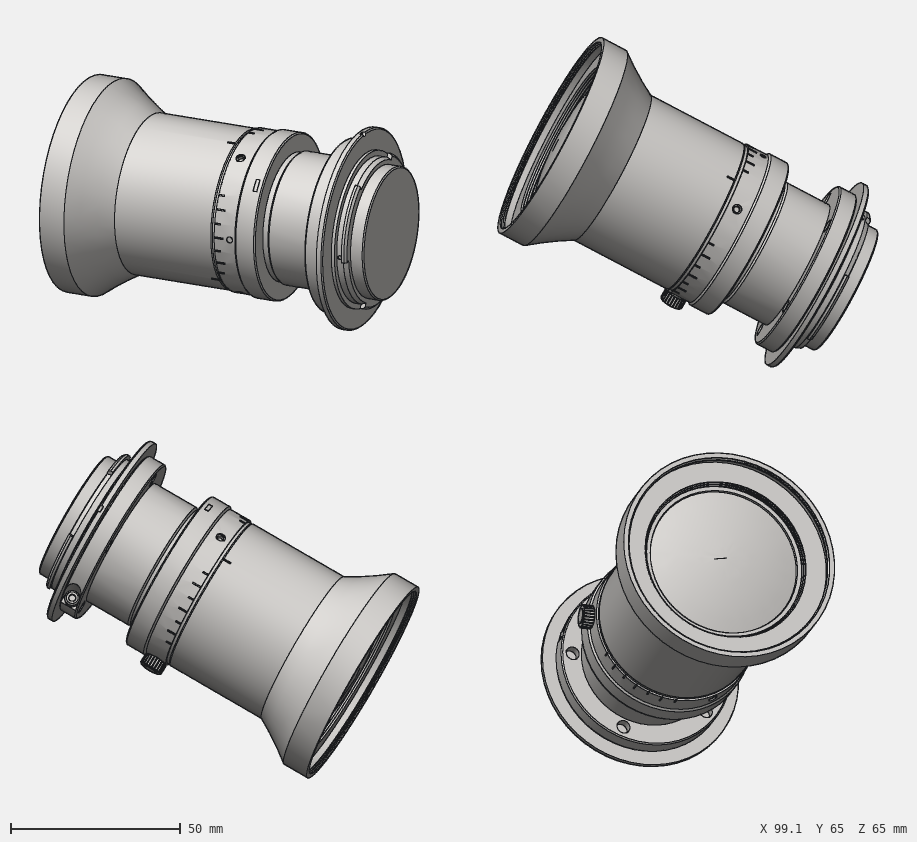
import cadquery as cq
import math


LENGTH = 99.1

HOOD_RADIUS = 32.5
HOOD_RIM_LENGTH = 7.9
HOOD_END = 20.5
FLARE_MID_X = 14.3
FLARE_MID_RADIUS = 27.9
BARREL_RADIUS = 24.2

THREAD_RADIUS = 31.0
THREAD_RIDGE = 0.4
THREAD_PITCH = 0.6
THREAD_TURNS = 2
THREAD_START = 0.4
RECESS_DEPTH = 3.6
SEAT_RADIUS = 24.8
SEAT_STEP_COUNT = 3
SEAT_STEP_DEPTH = 0.6
SEAT_STEP_WIDTH = 0.4
RETAINER_INNER_RADIUS = 22.7
LENS_RADIUS = 22.5
LENS_EDGE_X = 5.9
LENS_APEX_X = 2.6

GROOVE_X = 51.6
GROOVE_RADIUS = 24.0
RING_X = 52.9
RING_RADIUS = 24.6
LOCK_X = 59.6
LOCK_END = 66.3
LOCK_RADIUS = 25.2
LOCK_BEVEL = LOCK_RADIUS - RING_RADIUS
EDGE = 0.4

NECK_RADIUS = 19.4
TUBE_X = 68.0
TUBE_RADIUS = 20.0
TUBE_BEVEL = TUBE_RADIUS - NECK_RADIUS

FLANGE_X = 82.7
FLANGE_RADIUS = 26.2
DISC_X = 88.5
DISC_END = 90.4
DISC_RADIUS = 30.2
STEP_END = 91.4
STEP_RADIUS = 23.7
BAYONET_RADIUS = 22.0
BAYONET_X = 93.4
BAYONET_END = 94.9
BAYONET_END_RADIUS = 21.4

LUG_COUNT = 3
LUG_START_ANGLE = 5
LUG_SWEEP = 60
LUG_RADIUS = 23.3
LUG_BEVEL_X = 94.2
LUG_END_RADIUS = 22.6
LUG_ROOT_RADIUS = 20.8

DOT_X = 92.4
DOT_Z = -1.0
DOT_DIAMETER = 1.2
DISC_NOTCH_DIAMETER = 2.0
DISC_NOTCH_DEPTH = 1.0

SCREW_X = 55.9
SET_SCREW_ANGLES = (120, 240)
SET_SCREW_DIAMETER = 2.8
SET_SCREW_DEPTH = 0.5
SOCKET_DIAMETER = 1.9
SOCKET_DEPTH = 1.5

KNOB_DIAMETER = 7.0
KNOB_BASE = 25.1
KNOB_HEIGHT = 3.3
KNOB_EDGE = 0.3
KNOB_CAP_DIAMETER = 4.5
KNOB_CAP_HEIGHT = 0.3
KNOB_STEM_DIAMETER = 2.0
KNURL_COUNT = 24
KNURL_DIAMETER = 0.6

SCALE_COUNT = 3
SCALE_START_ANGLE = 30
TICKS_PER_SCALE = 7
TICK_STEP = 10
SHORT_TICK = 1.8
LONG_TICK = 2.8
TICK_WIDTH = 0.4
MARK_DEPTH = 0.2
INDEX_ANGLES = (106, 221)
INDEX_LENGTH = 2.4
RING_DOT_X = 57.9
RING_DOT_ANGLE = 180
RING_DOT_DIAMETER = 1.9

WINDOW_X = 64.1
WINDOW_ANGLE = 139.5
WINDOW_LENGTH = 1.2
WINDOW_WIDTH = 3.8

CLAMP_X = 85.7
CLAMP_Y = 23.2
CLAMP_FLOOR_Z = 5.5
CLAMP_POCKET_DIAMETER = 5.1
CLAMP_HEAD_DIAMETER = 4.5
CLAMP_HEAD_HEIGHT = 2.5
CLAMP_HEAD_EDGE = 0.5
CLAMP_SOCKET_DIAMETER = 2.1
CLAMP_SOCKET_DEPTH = 1.2

FLANGE_HOLE_COUNT = 5
FLANGE_HOLE_CIRCLE_RADIUS = 22.7
FLANGE_HOLE_DIAMETER = 4.0
FLANGE_HOLE_DEPTH = 3.0


def around_axis(shape, angle):
    """Turn a shape about the X axis, from +Y towards +Z."""
    return shape.rotate((0, 0, 0), (1, 0, 0), angle)


def axial_cylinder(x, y, z, diameter, length):
    """Cylinder starting at (x, y, z) and running along +X."""
    return cq.Workplane("YZ", origin=(x, y, z)).circle(diameter / 2).extrude(length)


def radial_cylinder(x, inner_radius, diameter, length):
    """Cylinder on the +Y side, running outwards from inner_radius."""
    plane = cq.Plane(origin=(x, inner_radius, 0), xDir=(1, 0, 0), normal=(0, 1, 0))
    return cq.Workplane(plane).circle(diameter / 2).extrude(length)


def radial_block(x_start, x_end, surface_radius, width, depth):
    """Block on the +Y side that reaches depth below surface_radius and stands clear above it."""
    center = ((x_start + x_end) / 2, surface_radius, 0)
    return cq.Workplane("XY", origin=center).box(x_end - x_start, 2 * depth, width)


def make_body():
    """Main body of revolution, including the front recess and the domed lens."""
    thread_end = THREAD_START + THREAD_TURNS * THREAD_PITCH
    seat_floor_x = RECESS_DEPTH + SEAT_STEP_COUNT * SEAT_STEP_DEPTH
    lens_mid_x = LENS_APEX_X + (LENS_EDGE_X - LENS_APEX_X) / 4
    profile = (
        cq.Workplane("XY")
        .moveTo(LENS_APEX_X, 0)
        .threePointArc((lens_mid_x, LENS_RADIUS / 2), (LENS_EDGE_X, LENS_RADIUS))
        .lineTo(seat_floor_x, RETAINER_INNER_RADIUS)
    )
    for step in reversed(range(SEAT_STEP_COUNT)):
        step_x = RECESS_DEPTH + step * SEAT_STEP_DEPTH
        step_radius = SEAT_RADIUS - step * SEAT_STEP_WIDTH
        profile = profile.lineTo(step_x + SEAT_STEP_DEPTH, step_radius).lineTo(step_x, step_radius)
    profile = profile.lineTo(RECESS_DEPTH, THREAD_RADIUS).lineTo(thread_end, THREAD_RADIUS)
    for turn in reversed(range(THREAD_TURNS)):
        turn_x = THREAD_START + turn * THREAD_PITCH
        profile = profile.lineTo(turn_x + THREAD_PITCH / 2, THREAD_RADIUS - THREAD_RIDGE)
        profile = profile.lineTo(turn_x, THREAD_RADIUS)
    profile = (
        profile.lineTo(0, THREAD_RADIUS)
        .lineTo(0, HOOD_RADIUS)
        .lineTo(HOOD_RIM_LENGTH, HOOD_RADIUS)
        .threePointArc((FLARE_MID_X, FLARE_MID_RADIUS), (HOOD_END, BARREL_RADIUS))
        .lineTo(GROOVE_X, BARREL_RADIUS)
        .lineTo(GROOVE_X + EDGE, GROOVE_RADIUS)
        .lineTo(RING_X, GROOVE_RADIUS)
        .lineTo(RING_X, RING_RADIUS)
        .lineTo(LOCK_X, RING_RADIUS)
        .lineTo(LOCK_X + LOCK_BEVEL, LOCK_RADIUS)
        .lineTo(LOCK_END - EDGE, LOCK_RADIUS)
        .lineTo(LOCK_END, LOCK_RADIUS - EDGE)
        .lineTo(LOCK_END, NECK_RADIUS)
        .lineTo(TUBE_X, NECK_RADIUS)
        .lineTo(TUBE_X + TUBE_BEVEL, TUBE_RADIUS)
        .lineTo(FLANGE_X, TUBE_RADIUS)
        .lineTo(FLANGE_X, FLANGE_RADIUS - EDGE)
        .lineTo(FLANGE_X + EDGE, FLANGE_RADIUS)
        .lineTo(DISC_X - EDGE, FLANGE_RADIUS)
        .lineTo(DISC_X, FLANGE_RADIUS - EDGE)
        .lineTo(DISC_X, DISC_RADIUS)
        .lineTo(DISC_END - EDGE, DISC_RADIUS)
        .lineTo(DISC_END, DISC_RADIUS - EDGE)
        .lineTo(DISC_END, STEP_RADIUS)
        .lineTo(STEP_END, STEP_RADIUS)
        .lineTo(STEP_END, BAYONET_RADIUS)
        .lineTo(BAYONET_X, BAYONET_RADIUS)
        .lineTo(BAYONET_END, BAYONET_END_RADIUS)
        .lineTo(BAYONET_END, TUBE_RADIUS)
        .lineTo(LENGTH - EDGE, TUBE_RADIUS)
        .lineTo(LENGTH, TUBE_RADIUS - EDGE)
        .lineTo(LENGTH, 0)
        .close()
    )
    return profile.revolve(360, (0, 0, 0), (1, 0, 0))


def add_bayonet_lugs(body):
    lug = (
        cq.Workplane("XY")
        .moveTo(BAYONET_X, LUG_ROOT_RADIUS)
        .lineTo(BAYONET_X, LUG_RADIUS)
        .lineTo(LUG_BEVEL_X, LUG_RADIUS)
        .lineTo(BAYONET_END, LUG_END_RADIUS)
        .lineTo(BAYONET_END, LUG_ROOT_RADIUS)
        .close()
        .revolve(LUG_SWEEP, (0, 0, 0), (1, 0, 0))
    )
    for index in range(LUG_COUNT):
        body = body.union(around_axis(lug, LUG_START_ANGLE + index * 360 / LUG_COUNT))
    return body


def cut_mount_marks(body):
    """Alignment dot on the -Y side and locating notch in the disc rim on the +Z side."""
    dot = radial_cylinder(DOT_X, BAYONET_RADIUS - MARK_DEPTH, DOT_DIAMETER, 2 * MARK_DEPTH)
    dot_angle = 180 - math.degrees(math.asin(DOT_Z / BAYONET_RADIUS))
    notch = axial_cylinder(
        DISC_END - DISC_NOTCH_DEPTH, 0, DISC_RADIUS, DISC_NOTCH_DIAMETER, DISC_NOTCH_DEPTH
    )
    return body.cut(around_axis(dot, dot_angle)).cut(notch)


def cut_set_screws(body):
    """Stepped recesses of the set screws in the aperture ring."""
    head = radial_cylinder(
        SCREW_X, RING_RADIUS - SET_SCREW_DEPTH, SET_SCREW_DIAMETER, 2 * SET_SCREW_DEPTH
    )
    socket = radial_cylinder(SCREW_X, RING_RADIUS - SOCKET_DEPTH, SOCKET_DIAMETER, SOCKET_DEPTH)
    recess = head.union(socket)
    for angle in SET_SCREW_ANGLES:
        body = body.cut(around_axis(recess, angle))
    return body


def make_thumb_screw():
    knob_radius = KNOB_DIAMETER / 2
    knob = radial_cylinder(SCREW_X, KNOB_BASE, KNOB_DIAMETER, KNOB_HEIGHT).edges().chamfer(KNOB_EDGE)
    for index in range(KNURL_COUNT):
        angle = 2 * math.pi * index / KNURL_COUNT
        flute = radial_cylinder(SCREW_X, KNOB_BASE, KNURL_DIAMETER, KNOB_HEIGHT)
        offset = (knob_radius * math.cos(angle), 0, knob_radius * math.sin(angle))
        knob = knob.cut(flute.translate(offset))
    knob_top = KNOB_BASE + KNOB_HEIGHT
    cap = radial_cylinder(SCREW_X, knob_top, KNOB_CAP_DIAMETER, KNOB_CAP_HEIGHT)
    stem_base = RING_RADIUS - SET_SCREW_DEPTH
    stem = radial_cylinder(SCREW_X, stem_base, KNOB_STEM_DIAMETER, knob_top - stem_base)
    return knob.union(cap).union(stem)


def cut_aperture_scales(body):
    """Three scales of alternating short and long graduations, with one index dot."""
    for scale in range(SCALE_COUNT):
        for tick in range(TICKS_PER_SCALE):
            length = SHORT_TICK if tick % 2 == 0 else LONG_TICK
            angle = SCALE_START_ANGLE + scale * 360 / SCALE_COUNT + tick * TICK_STEP
            groove = radial_block(RING_X, RING_X + length, RING_RADIUS, TICK_WIDTH, MARK_DEPTH)
            body = body.cut(around_axis(groove, angle))
    dot = radial_cylinder(RING_DOT_X, RING_RADIUS - MARK_DEPTH, RING_DOT_DIAMETER, 2 * MARK_DEPTH)
    return body.cut(around_axis(dot, RING_DOT_ANGLE))


def cut_barrel_index_lines(body):
    line = radial_block(GROOVE_X - INDEX_LENGTH, GROOVE_X, BARREL_RADIUS, TICK_WIDTH, MARK_DEPTH)
    for angle in INDEX_ANGLES:
        body = body.cut(around_axis(line, angle))
    return body


def cut_lock_ring_window(body):
    half_length = WINDOW_LENGTH / 2
    window = radial_block(
        WINDOW_X - half_length, WINDOW_X + half_length, LOCK_RADIUS, WINDOW_WIDTH, MARK_DEPTH
    )
    return body.cut(around_axis(window, WINDOW_ANGLE))


def fit_clamp_screw(body):
    """Round-ended pocket open to +Z, and to +Y at the flange rim, holding a socket-head screw."""
    height = FLANGE_RADIUS - CLAMP_FLOOR_Z
    floor = cq.Workplane("XY", origin=(CLAMP_X, CLAMP_Y, CLAMP_FLOOR_Z))
    pocket = floor.circle(CLAMP_POCKET_DIAMETER / 2).extrude(height)
    opening_length = FLANGE_RADIUS - CLAMP_Y
    opening = (
        floor.center(0, opening_length / 2)
        .rect(CLAMP_POCKET_DIAMETER, opening_length)
        .extrude(height)
    )
    head = (
        floor.circle(CLAMP_HEAD_DIAMETER / 2)
        .extrude(CLAMP_HEAD_HEIGHT)
        .faces(">Z")
        .chamfer(CLAMP_HEAD_EDGE)
        .faces(">Z")
        .workplane()
        .hole(CLAMP_SOCKET_DIAMETER, CLAMP_SOCKET_DEPTH)
    )
    return body.cut(pocket).cut(opening).union(head)


def cut_flange_holes(body):
    """Ring of blind holes around the tube."""
    hole = axial_cylinder(
        FLANGE_X, FLANGE_HOLE_CIRCLE_RADIUS, 0, FLANGE_HOLE_DIAMETER, FLANGE_HOLE_DEPTH
    )
    for index in range(FLANGE_HOLE_COUNT):
        body = body.cut(around_axis(hole, index * 360 / FLANGE_HOLE_COUNT))
    return body


body = add_bayonet_lugs(make_body())
body = cut_mount_marks(body)
body = cut_set_screws(body)
body = cut_aperture_scales(body)
body = cut_barrel_index_lines(body)
body = cut_lock_ring_window(body)
body = cut_flange_holes(body)
body = fit_clamp_screw(body)
result = body.union(make_thumb_screw())